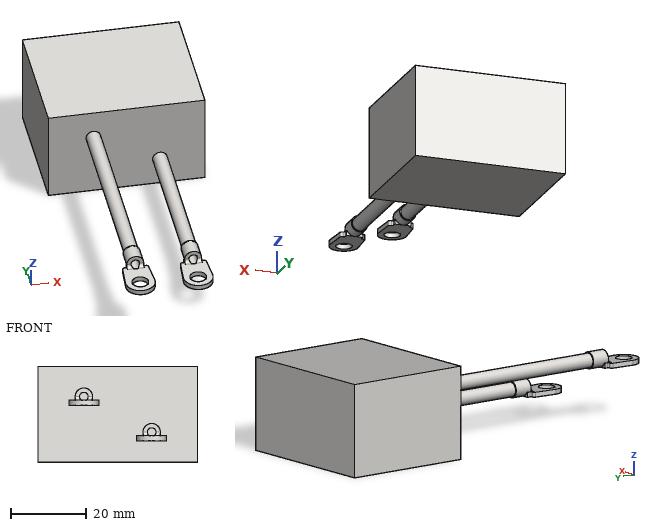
import cadquery as cq

HOUSING_WIDTH = 42.5
HOUSING_DEPTH = 36.0
HOUSING_HEIGHT = 25.5
OVERALL_LENGTH = 104.9

EYE_RADIUS = 4.0
EYE_HOLE_DIAMETER = 4.4
PLATE_THICKNESS = 1.4
SHOULDER_HALF_WIDTH = 3.5
SHOULDER_RADIUS = 0.6
NECK_FILLET_RADIUS = 0.4
BARREL_DIAMETER = 4.6
BARREL_LENGTH = 5.0
BARREL_BORE_DIAMETER = 2.3
EYE_TO_BARREL = 7.0
NECK_LENGTH = 1.3
CORNER_MARGIN = 0.1
BARREL_RADIUS = BARREL_DIAMETER / 2
PLATE_BOTTOM = -BARREL_RADIUS
PLATE_TOP = PLATE_BOTTOM + PLATE_THICKNESS
FILLET_RADIUS = -PLATE_TOP

WIRE_DIAMETER = 4.0
WIRE_X = 9.0
WIRE_Z = 4.7
LONG_WIRE_LENGTH = (
    OVERALL_LENGTH - HOUSING_DEPTH - EYE_RADIUS - EYE_TO_BARREL - BARREL_LENGTH
)
WIRE_LENGTH_DIFFERENCE = 12.0
SHORT_WIRE_LENGTH = LONG_WIRE_LENGTH - WIRE_LENGTH_DIFFERENCE

WIRES = [
    (-WIRE_X, WIRE_Z, LONG_WIRE_LENGTH),
    (WIRE_X, -WIRE_Z, SHORT_WIRE_LENGTH),
]


def rod(diameter, start_y, length):
    """Cylinder along -Y from start_y, on the Y axis."""
    return cq.Workplane("XZ", origin=(0, start_y, 0)).circle(diameter / 2).extrude(length)


def make_housing():
    """Block with its two wires moulded into the front face."""
    housing = cq.Workplane("XY").box(HOUSING_WIDTH, HOUSING_DEPTH, HOUSING_HEIGHT)
    housing = housing.translate((0, HOUSING_DEPTH / 2, 0))
    for x, z, length in WIRES:
        housing = housing.union(rod(WIRE_DIAMETER, 0, length).translate((x, 0, z)))
    return housing


def make_plate(eye_y):
    """Flat tongue that widens to the round eye, with a neck beneath the barrel."""
    shoulder_y = eye_y + EYE_TO_BARREL
    plate = (
        cq.Workplane("XY", origin=(0, 0, PLATE_BOTTOM))
        .moveTo(-EYE_RADIUS, eye_y)
        .threePointArc((0, eye_y - EYE_RADIUS), (EYE_RADIUS, eye_y))
        .lineTo(SHOULDER_HALF_WIDTH, shoulder_y)
        .lineTo(-SHOULDER_HALF_WIDTH, shoulder_y)
        .close()
        .extrude(PLATE_THICKNESS)
    )
    plate = plate.edges("|Z and >Y").fillet(SHOULDER_RADIUS)
    neck = cq.Workplane("XY", origin=(0, shoulder_y, PLATE_BOTTOM)).box(
        BARREL_DIAMETER, NECK_LENGTH, PLATE_THICKNESS, centered=(True, False, False)
    )
    neck_corners = cq.selectors.BoxSelector(
        (-BARREL_RADIUS - CORNER_MARGIN, shoulder_y - CORNER_MARGIN, PLATE_BOTTOM),
        (BARREL_RADIUS + CORNER_MARGIN, shoulder_y + CORNER_MARGIN, PLATE_TOP),
    )
    return plate.union(neck).edges("|Z").edges(neck_corners).fillet(NECK_FILLET_RADIUS)


def make_root_fillet(barrel_end_y):
    """Concave fillet between the end of the barrel and the plate."""
    bend = FILLET_RADIUS * (1 - 0.5 ** 0.5)
    return (
        cq.Workplane("YZ", origin=(-BARREL_RADIUS, 0, 0))
        .moveTo(barrel_end_y, 0)
        .threePointArc(
            (barrel_end_y - bend, PLATE_TOP + bend),
            (barrel_end_y - FILLET_RADIUS, PLATE_TOP),
        )
        .lineTo(barrel_end_y, PLATE_TOP)
        .close()
        .extrude(BARREL_DIAMETER)
    )


def make_terminal(x, z, wire_length):
    """Ring terminal whose bored barrel butts against the end of its wire."""
    barrel_start_y = -wire_length
    barrel_end_y = barrel_start_y - BARREL_LENGTH
    eye_y = barrel_end_y - EYE_TO_BARREL
    bore_length = BARREL_LENGTH + FILLET_RADIUS
    eye_hole = (
        cq.Workplane("XY", origin=(0, eye_y, PLATE_BOTTOM))
        .circle(EYE_HOLE_DIAMETER / 2)
        .extrude(PLATE_THICKNESS)
    )
    terminal = (
        rod(BARREL_DIAMETER, barrel_start_y, BARREL_LENGTH)
        .union(make_root_fillet(barrel_end_y))
        .union(make_plate(eye_y))
        .cut(rod(BARREL_BORE_DIAMETER, barrel_start_y, bore_length))
        .cut(eye_hole)
    )
    return terminal.translate((x, 0, z))


housing = make_housing()
terminals = [make_terminal(x, z, length) for x, z, length in WIRES]

result = cq.Compound.makeCompound([housing.val(), *[terminal.val() for terminal in terminals]])